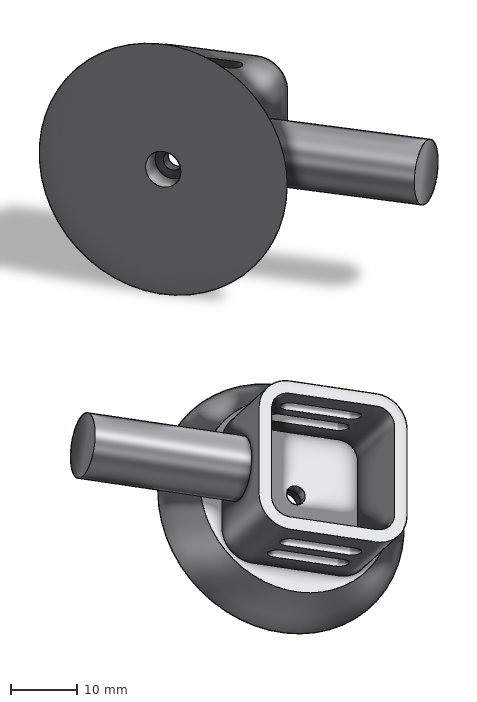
import cadquery as cq
import math

overall_length = 57.35
disc_diameter = 40.0
disc_thickness = 6.0
dome_centre_offset = 10.0

housing_side = 24.0
housing_depth = 14.95
corner_radius = 5.0
wall = 2.0

stem_diameter = 10.0
stem_axis_y = 13.0

slot_length = 13.0
slot_width = 3.0
slot_positions_y = (11.0, 16.0)

screw_hole_diameter = 3.0
screw_head_diameter = 5.7
screw_seat_thickness = 2.0

disc_radius = disc_diameter / 2
stem_end_x = overall_length - disc_radius
cavity_side = housing_side - 2 * wall


def rounded_block(side, radius, start_y, depth):
    """Square block along +Y with its four long edges rounded."""
    block = cq.Workplane("XZ", origin=(0, start_y, 0)).rect(side, side).extrude(-depth)
    return block.edges("|Y").fillet(radius)


def round_bar(diameter, start_y, depth):
    """Cylinder on the disc axis, running along +Y."""
    return cq.Workplane("XZ", origin=(0, start_y, 0)).circle(diameter / 2).extrude(-depth)


def domed_disc():
    """Flat-faced disc whose rim is a zone of a sphere."""
    sphere_radius = math.hypot(disc_radius, dome_centre_offset)

    def rim_radius(y):
        return math.sqrt(sphere_radius**2 - (y + dome_centre_offset) ** 2)

    middle_y = disc_thickness / 2
    return (
        cq.Workplane("XY")
        .lineTo(disc_radius, 0)
        .threePointArc((rim_radius(middle_y), middle_y), (rim_radius(disc_thickness), disc_thickness))
        .lineTo(0, disc_thickness)
        .close()
        .revolve(360, (0, 0, 0), (0, 1, 0))
    )


def side_stem():
    """Solid round stem running out along +X from inside the housing wall."""
    start_x = housing_side / 2 - wall
    return (
        cq.Workplane("YZ", origin=(start_x, stem_axis_y, 0))
        .circle(stem_diameter / 2)
        .extrude(stem_end_x - start_x)
    )


def vent_slots():
    """Slots passing through both the top and the bottom walls."""
    return (
        cq.Workplane("XY", origin=(0, 0, -housing_side / 2))
        .pushPoints([(0, y) for y in slot_positions_y])
        .slot2D(slot_length, slot_width)
        .extrude(housing_side)
    )


def screw_hole():
    """Through hole with a head recess sunk from the front of the disc."""
    head_recess = round_bar(screw_head_diameter, 0, disc_thickness - screw_seat_thickness)
    return round_bar(screw_hole_diameter, 0, disc_thickness).union(head_recess)


housing = rounded_block(housing_side, corner_radius, disc_thickness, housing_depth)
body = domed_disc().union(housing).union(side_stem())

cavity = rounded_block(cavity_side, corner_radius - wall, disc_thickness, housing_depth)

result = body.cut(cavity).cut(vent_slots()).cut(screw_hole())